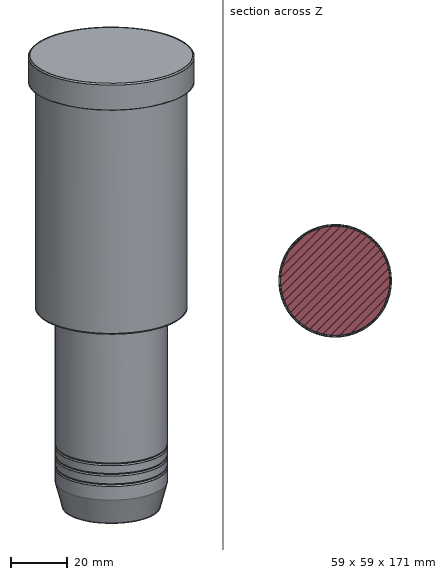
import cadquery as cq
import math

total_height = 171.0
head_diameter = 59.0
head_height = 10.0
head_chamfer = 0.5
body_diameter = 54.0
body_bottom = 75.0
body_chamfer = 0.5
pin_diameter = 40.0

relief_height = 1.0
relief_depth = 0.5

taper_height = 10.0
taper_angle = 15.0
tip_fillet = 0.5

groove_count = 3
groove_width = 1.0
groove_depth = 0.3
groove_pitch = 4.0
lowest_groove_center = 15.5


def cylinder(diameter, bottom, top):
    """Cylinder on the Z axis between two heights."""
    return cq.Workplane("XY").workplane(offset=bottom).circle(diameter / 2).extrude(top - bottom)


def ring_cut(diameter, depth, bottom, height):
    """Ring that cuts a rectangular groove into a shaft of the given diameter."""
    outer = cylinder(diameter + 2 * depth, bottom, bottom + height)
    core = cylinder(diameter - 2 * depth, bottom, bottom + height)
    return outer.cut(core)


def v_groove(diameter, depth, center, width):
    """Ring that cuts a V-shaped groove into a shaft of the given diameter."""
    surface_radius = diameter / 2
    triangle = [
        (surface_radius, center - width / 2),
        (surface_radius - depth, center),
        (surface_radius, center + width / 2),
    ]
    return cq.Workplane("XZ").polyline(triangle).close().revolve(360, (0, 0, 0), (0, 1, 0))


head_bottom = total_height - head_height

head = cylinder(head_diameter, head_bottom, total_height).faces(">Z").edges().chamfer(head_chamfer)
body = cylinder(body_diameter, body_bottom, head_bottom).faces("<Z").edges().chamfer(body_chamfer)
body = body.cut(v_groove(body_diameter, relief_depth, head_bottom - relief_height / 2, relief_height))

pin_radius = pin_diameter / 2
tip_radius = pin_radius - taper_height * math.tan(math.radians(taper_angle))
pin_profile = [
    (0, 0),
    (tip_radius, 0),
    (pin_radius, taper_height),
    (pin_radius, body_bottom),
    (0, body_bottom),
]
pin = cq.Workplane("XZ").polyline(pin_profile).close().revolve(360, (0, 0, 0), (0, 1, 0))
pin = pin.faces("<Z").edges().fillet(tip_fillet)
pin = pin.cut(ring_cut(pin_diameter, relief_depth, body_bottom - relief_height, relief_height))

for index in range(groove_count):
    groove_center = lowest_groove_center + index * groove_pitch
    pin = pin.cut(v_groove(pin_diameter, groove_depth, groove_center, groove_width))

result = pin.union(body).union(head)